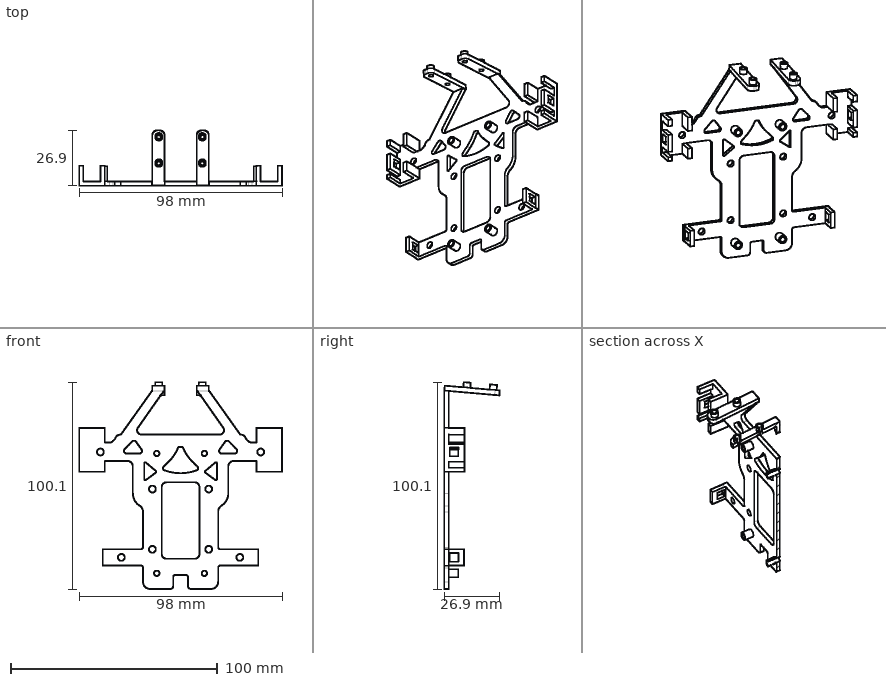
import cadquery as cq
import math

plate_thickness = 2.2
shoulder_half_width = 23.1
waist_half_width = 18.2
deck_z = 74.8

clip_outer_x = 49.0
clip_inner_x = 36.6
clip_bottom_z = 56.7
clip_top_z = 77.9
clip_depth = 9.8
clip_wall = 2.1
side_arm_bottom_z = 61.9
side_arm_top_z = 70.9

foot_outer_x = 37.6
foot_bottom_z = 11.3
foot_top_z = 19.3
foot_depth = 9.6
foot_wall = 2.1
foot_tab_setback = 0.2

window_size = 4.1
window_front_y = 2.7
clip_slots = ((58.8, 61.5), (70.2, 74.7))

rail_inner_x = 7.7
rail_outer_x = 13.7
rail_bottom_z = 95.9
rail_thickness = 2.5
rail_reach = 26.9
rail_tilt = 5.0
rail_corner_radius = 2.5
strut_outer_foot_x = 28.8
strut_outer_top_x = 13.8
strut_inner_foot_x = 22.8
strut_inner_top_x = 8.0
strut_corner_radius = 2.0

rail_boss_x = 10.5
rail_boss_y = (10.9, 23.6)
rail_boss_diameter = 3.5
rail_boss_height = 2.5
rail_boss_bore = 2.2
pin_places = ((11.5, 7.6), (11.5, 65.6))
pin_diameter = 4.0
pin_end_y = 6.8
pin_bore = 2.5
screw_diameter = 3.2
clip_screw = (38.7, 66.3)
foot_screw = (28.6, 15.3)
screw_places = (clip_screw, foot_screw, (13.6, 48.3), (13.6, 19.2))

shoulder_radius = 7.0
shoulder_arc_z = 46.2
waist_blend_radius = 3.5
armpit_radius = 2.5
foot_root_radius = 0.9
heel_radius = 3.5
notch_half_width = 3.5
notch_top_z = 6.7
notch_top_radius = 0.8
notch_mouth_radius = 1.5
ledge_radius = 3.0
ledge_outer_x = 31.7
ledge_root_radius = 2.5

opening_width = 18.1
opening_bottom_z = 14.7
opening_top_z = 51.6
opening_radius = 2.2
arm_triangle = ((28.9, 65.6), (22.4, 72.4), (17.5, 65.6))
arm_triangle_radius = 1.2
neck_triangle = ((17.5, 61.8), (11.5, 56.7), (17.5, 52.3))
neck_triangle_radius = 0.4
fan_top = (1.0, 68.7)
fan_flank_middle = (2.9, 65.0)
fan_flank_end = (5.3, 62.0)
fan_corner = (9.2, 58.1)
fan_bottom_z = 56.1
fan_top_radius = 0.7
fan_corner_radius = 1.0

cut_margin = 1.0
place_tolerance = 0.05


def wall_plane():
    """Sketch plane of the plate's front face: local x is X, local y is Z."""
    return cq.Workplane("XZ")


def slab(sketch, depth):
    """Extrude a front-face sketch back towards +Y."""
    return sketch.extrude(-depth)


def round_bars(places, diameter, depth):
    """Cylinders running back from the front face at the given (x, z) places."""
    return slab(wall_plane().pushPoints(places).circle(diameter / 2), depth)


def box(x_range, y_range, z_range):
    """Axis-aligned block given by its (low, high) range on each axis."""
    size = [high - low for low, high in (x_range, y_range, z_range)]
    corner = (x_range[0], y_range[0], z_range[0])
    return cq.Workplane("XY").box(*size, centered=False).translate(corner)


def edges_at(body, places):
    """Select the Y-direction edges that pass through the given (x, z) places."""
    edges = body.edges("|Y")

    def is_wanted(edge):
        center = edge.Center()
        return any(math.hypot(center.x - x, center.z - z) < place_tolerance for x, z in places)

    return edges.filter(is_wanted)


def plate_half():
    """Right half of the plate with the side arm, foot arm and strut."""
    arc_x = shoulder_half_width - shoulder_radius
    blend_x = waist_half_width + waist_blend_radius
    span = shoulder_radius + waist_blend_radius
    lean = math.acos((blend_x - arc_x) / span)
    blend_z = shoulder_arc_z - span * math.sin(lean)

    def shoulder_point(angle):
        x = arc_x + shoulder_radius * math.cos(angle)
        return (x, shoulder_arc_z - shoulder_radius * math.sin(angle))

    def blend_point(angle):
        x = blend_x - waist_blend_radius * math.cos(angle)
        return (x, blend_z + waist_blend_radius * math.sin(angle))

    ledge_center_z = deck_z - ledge_radius
    ledge_span = math.asin((ledge_outer_x - strut_outer_foot_x) / ledge_radius)

    def ledge_point(angle):
        x = strut_outer_foot_x + ledge_radius * math.sin(angle)
        return (x, ledge_center_z + ledge_radius * math.cos(angle))

    ledge_start = ledge_point(ledge_span)
    ledge_root_x = ledge_outer_x + ledge_start[1] - side_arm_top_z

    sketch = (
        wall_plane()
        .moveTo(0, notch_top_z)
        .lineTo(notch_half_width, notch_top_z)
        .lineTo(notch_half_width, 0)
        .lineTo(waist_half_width, 0)
        .lineTo(waist_half_width, foot_bottom_z)
        .lineTo(foot_outer_x, foot_bottom_z)
        .lineTo(foot_outer_x, foot_top_z)
        .lineTo(waist_half_width, foot_top_z)
        .lineTo(waist_half_width, blend_z)
        .threePointArc(blend_point(lean / 2), blend_point(lean))
        .threePointArc(shoulder_point(lean / 2), shoulder_point(0))
        .lineTo(shoulder_half_width, side_arm_bottom_z)
        .lineTo(clip_outer_x, side_arm_bottom_z)
        .lineTo(clip_outer_x, side_arm_top_z)
        .lineTo(ledge_root_x, side_arm_top_z)
        .lineTo(*ledge_start)
        .threePointArc(ledge_point(ledge_span / 2), ledge_point(0))
        .lineTo(strut_outer_top_x, rail_bottom_z)
        .lineTo(strut_inner_top_x, rail_bottom_z)
        .lineTo(strut_inner_foot_x, deck_z)
        .lineTo(0, deck_z)
        .close()
    )
    half = slab(sketch, plate_thickness)
    rounds = (
        (notch_top_radius, ((notch_half_width, notch_top_z),)),
        (notch_mouth_radius, ((notch_half_width, 0),)),
        (heel_radius, ((waist_half_width, 0),)),
        (foot_root_radius, ((waist_half_width, foot_bottom_z), (waist_half_width, foot_top_z))),
        (armpit_radius, ((shoulder_half_width, side_arm_bottom_z),)),
        (ledge_root_radius, ((ledge_root_x, side_arm_top_z),)),
        (strut_corner_radius, ((strut_inner_foot_x, deck_z),)),
    )
    for radius, places in rounds:
        half = edges_at(half, places).fillet(radius)
    return half


def clip_channel():
    """Rear-opening channel at the end of the side arm."""
    z_range = (clip_bottom_z, clip_top_z)
    rear = (plate_thickness, clip_depth + cut_margin)
    inside = (clip_inner_x - cut_margin, clip_outer_x - clip_wall)
    clip = box((clip_inner_x, clip_outer_x), (0, clip_depth), z_range)
    clip = clip.cut(box((clip_inner_x + clip_wall, inside[1]), rear, z_range))
    clip = clip.cut(box(inside, rear, (side_arm_bottom_z, side_arm_top_z)))
    outer_wall = (clip_outer_x - clip_wall, clip_outer_x)
    for slot in clip_slots:
        clip = clip.cut(box(outer_wall, rear, slot))
    return clip.cut(wall_window(outer_wall, clip_screw[1]))


def foot_tab():
    """Upright tab just inside the end of the foot arm."""
    outer_x = foot_outer_x - foot_tab_setback
    wall = (outer_x - foot_wall, outer_x)
    tab = box(wall, (0, foot_depth), (foot_bottom_z, foot_top_z))
    return tab.cut(wall_window(wall, foot_screw[1]))


def wall_window(x_range, center_z):
    """Square hole through a side wall."""
    y_range = (window_front_y, window_front_y + window_size)
    return box(x_range, y_range, (center_z - window_size / 2, center_z + window_size / 2))


def rail():
    """Tilted rail behind the strut, hinged on its lower front edge, with two bored bosses."""
    tilt = math.radians(rail_tilt)
    lean = rail_thickness * math.sin(tilt)
    length = (rail_reach - lean) / math.cos(tilt)
    body = box((rail_inner_x, rail_outer_x), (0, length), (0, rail_thickness))
    body = body.edges("|Z and >Y").fillet(rail_corner_radius)
    centers = [(rail_boss_x, (y - lean) / math.cos(tilt)) for y in rail_boss_y]
    layout = cq.Workplane("XY").pushPoints(centers)
    boss_top = rail_thickness + rail_boss_height
    body = body.union(layout.circle(rail_boss_diameter / 2).extrude(boss_top))
    body = body.cut(layout.circle(rail_boss_bore / 2).extrude(boss_top))
    return body.rotate((0, 0, 0), (1, 0, 0), -rail_tilt).translate((0, 0, rail_bottom_z))


def half_openings():
    """Holes and triangular windows of the right half."""
    depth = pin_end_y + cut_margin
    cutters = round_bars(screw_places, screw_diameter, depth)
    cutters = cutters.union(round_bars(pin_places, pin_bore, depth))
    triangles = ((arm_triangle, arm_triangle_radius), (neck_triangle, neck_triangle_radius))
    for corners, radius in triangles:
        window = slab(wall_plane().polyline(corners).close(), depth)
        cutters = cutters.union(window.edges("|Y").fillet(radius))
    return cutters


def central_opening():
    """Tall rounded window in the middle of the plate."""
    x_range = (-opening_width / 2, opening_width / 2)
    opening = box(x_range, (0, plate_thickness), (opening_bottom_z, opening_top_z))
    return opening.edges("|Y").fillet(opening_radius)


def fan_opening():
    """Fan-shaped window with curved flanks and a bowed bottom."""
    def mirrored(point):
        return (-point[0], point[1])

    sketch = (
        wall_plane()
        .moveTo(*mirrored(fan_top))
        .lineTo(*fan_top)
        .threePointArc(fan_flank_middle, fan_flank_end)
        .lineTo(*fan_corner)
        .threePointArc((0, fan_bottom_z), mirrored(fan_corner))
        .lineTo(*mirrored(fan_flank_end))
        .threePointArc(mirrored(fan_flank_middle), mirrored(fan_top))
        .close()
    )
    fan = slab(sketch, plate_thickness)
    for radius, corner in ((fan_top_radius, fan_top), (fan_corner_radius, fan_corner)):
        fan = edges_at(fan, (corner, mirrored(corner))).fillet(radius)
    return fan


pins = round_bars(pin_places, pin_diameter, pin_end_y)
half_frame = plate_half().union(clip_channel()).union(foot_tab()).union(rail()).union(pins)
half_frame = half_frame.cut(half_openings())
result = half_frame.union(half_frame.mirror("YZ")).cut(central_opening()).cut(fan_opening())